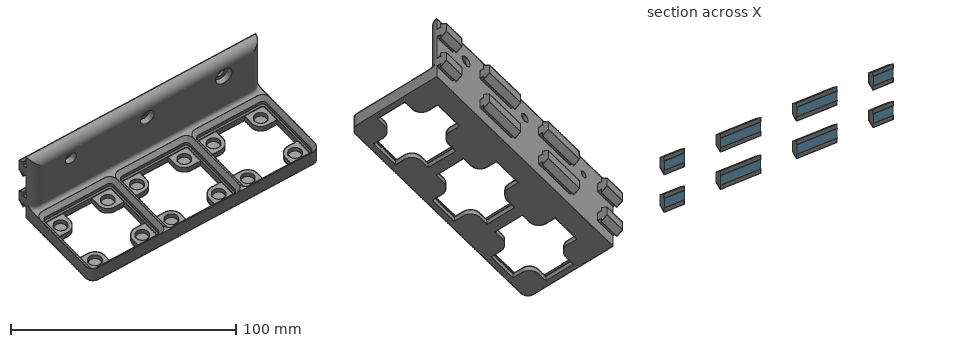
import cadquery as cq

length = 126.0
depth = 54.5
height = 40.0

cell_count = 3
cell_pitch = length / cell_count
cell_radius = 4.0
frame_height = 8.0

upper_chamfer = 2.1
straight_wall = 1.8
lower_chamfer = 0.7
wall_inset = upper_chamfer + lower_chamfer

magnet_spacing = 26.0
magnet_diameter = 6.5
magnet_depth = 2.4
pad_height = 3.0

rail_length = 22.3
rail_pitch = cell_pitch
rail_centers_z = (10.0, 30.0)
neck_length = 2.1
head_length = 3.3
neck_width = 5.3
head_width = 9.7
rail_depth = neck_length + head_length

plate_front_radius = 5.0
plate_foot_radius = 2.0
frame_front_x = depth - rail_depth
cell_back_x = frame_front_x - cell_pitch
plate_thickness = cell_back_x - plate_foot_radius

screw_height = rail_centers_z[1]
screw_holes = (
    (-cell_pitch, 3.4, 6.0),
    (0.0, 4.5, 7.5),
    (cell_pitch, 5.5, 9.0),
)
screw_floor = 1.9

cell_center_x = cell_back_x + cell_pitch / 2
cell_centers_y = [cell_pitch * (i - (cell_count - 1) / 2) for i in range(cell_count)]


def block(x_size, y_size, z_size):
    """Box starting at X = 0 and Z = 0, centered on Y."""
    return cq.Workplane("XY").box(x_size, y_size, z_size, centered=(False, True, False))


def make_frame():
    """Solid base slab with rounded front corners."""
    slab = block(frame_front_x, length, frame_height)
    return slab.edges("|Z and >X").fillet(cell_radius)


def make_plate():
    """Upright plate with rounded front edges and a concave foot that is trimmed at the end faces."""
    plate = block(plate_thickness, length, height)
    plate = plate.faces(">X").edges("|Z or >Z").fillet(plate_front_radius)
    overhang = 2 * plate_foot_radius
    floor = block(frame_front_x, length + 2 * overhang, frame_height)
    margin = 0.1
    foot_zone = cq.selectors.BoxSelector(
        (-margin, -length, frame_height - margin),
        (plate_thickness + margin, length, frame_height + margin),
    )
    upright = floor.union(plate).edges(foot_zone).edges("not <X")
    upright = upright.fillet(plate_foot_radius)
    trim = block(cell_back_x, length, height)
    return upright.intersect(trim)


def rounded_prism(size, radius, bottom, top):
    """Square prism with rounded vertical edges between two heights."""
    prism = cq.Workplane("XY").workplane(offset=bottom).rect(size, size).extrude(top - bottom)
    return prism.edges("|Z").fillet(radius)


def make_cell_cutter():
    """Stepped opening of one cell, centered on the Z axis and going right through the frame."""
    upper_bottom = frame_height - upper_chamfer
    lower_top = upper_bottom - straight_wall
    opening = rounded_prism(cell_pitch - 2 * wall_inset, cell_radius - wall_inset, 0, lower_top)
    middle_size = cell_pitch - 2 * upper_chamfer
    middle_radius = cell_radius - upper_chamfer
    lower = rounded_prism(middle_size, middle_radius, lower_top - lower_chamfer, upper_bottom)
    lower = lower.faces("<Z").chamfer(lower_chamfer)
    upper = rounded_prism(cell_pitch, cell_radius, upper_bottom, frame_height + upper_chamfer)
    upper = upper.faces("<Z").chamfer(upper_chamfer)
    return opening.union(lower).union(upper)


def make_magnet_pads():
    """Four corner pads of one cell with blind magnet pockets, centered on the Z axis."""
    opening_half = cell_pitch / 2 - wall_inset
    pad_radius = opening_half - magnet_spacing / 2
    pad_outer = opening_half + wall_inset / 2
    pad_inner = magnet_spacing / 2 - pad_radius
    pad_size = pad_outer - pad_inner
    pad_center = (pad_outer + pad_inner) / 2
    pads = cq.Workplane("XY")
    for side_x in (-1, 1):
        for side_y in (-1, 1):
            pad = cq.Workplane("XY").box(pad_size, pad_size, pad_height, centered=(True, True, False))
            pad = pad.translate((side_x * pad_center, side_y * pad_center, 0))
            inner_x = "<X" if side_x > 0 else ">X"
            inner_y = "<Y" if side_y > 0 else ">Y"
            pads = pads.add(pad.edges(f"|Z and {inner_x} and {inner_y}").fillet(pad_radius))
    pockets = (
        cq.Workplane("XY")
        .workplane(offset=pad_height - magnet_depth)
        .rect(magnet_spacing, magnet_spacing, forConstruction=True)
        .vertices()
        .circle(magnet_diameter / 2)
        .extrude(magnet_depth)
    )
    return pads.combine().cut(pockets)


def make_rails():
    """Two rows of hook rails; the end rails are cut flush with the ends of the plate."""
    profile = [
        (0, neck_width / 2),
        (-neck_length, neck_width / 2),
        (-neck_length, head_width / 2),
        (-rail_depth, neck_width / 2),
    ]
    profile += [(x, -z) for x, z in reversed(profile)]
    rail = cq.Workplane("XZ").polyline(profile).close().extrude(rail_length / 2, both=True)
    rails = cq.Workplane("XY")
    for z in rail_centers_z:
        for i in range(cell_count + 1):
            rails = rails.add(rail.translate((0, rail_pitch * (i - cell_count / 2), z)))
    trim = block(2 * rail_depth, length, height).translate((-rail_depth, 0, 0))
    return rails.combine().intersect(trim)


def make_screw_hole(y, hole_diameter, head_diameter):
    """Through hole along X with a counterbore open to the front of the plate."""
    axis = cq.Workplane("YZ").center(y, screw_height)
    hole = axis.circle(hole_diameter / 2).extrude(plate_thickness)
    head = axis.workplane(offset=screw_floor).circle(head_diameter / 2).extrude(plate_thickness)
    return hole.union(head)


result = make_frame().union(make_plate())

cell_cutter = make_cell_cutter()
magnet_pads = make_magnet_pads()
for cell_y in cell_centers_y:
    result = result.cut(cell_cutter.translate((cell_center_x, cell_y, 0)))
for cell_y in cell_centers_y:
    result = result.union(magnet_pads.translate((cell_center_x, cell_y, 0)))

result = result.union(make_rails())
for hole in screw_holes:
    result = result.cut(make_screw_hole(*hole))